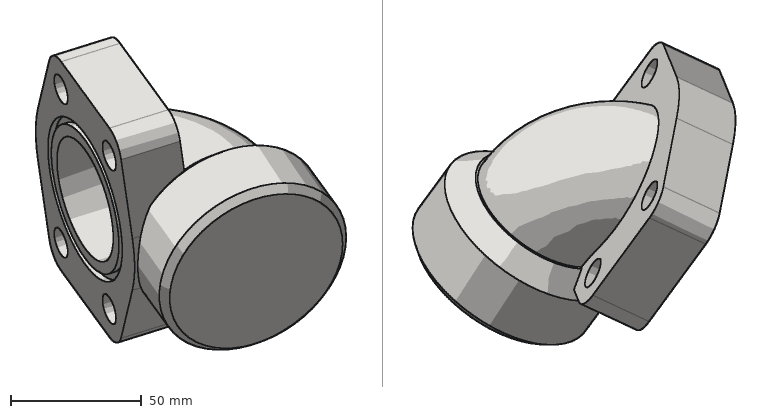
import cadquery as cq
import math

flange_thickness = 25.0
flange_height = 106.0
flange_side_radius = 44.0
flange_corner_radius = 11.0
bolt_spacing_x = 42.9
bolt_spacing_z = 77.8
bolt_hole_diameter = 12.0

port_diameter = 50.0
port_depth = 25.0
groove_inner_diameter = 60.0
groove_outer_diameter = 66.0
groove_depth = 2.65

elbow_radius = 30.0
bend_radius = 30.0
outlet_axis_y = 41.0

collar_radius = 39.66
collar_neck_radius = 31.0
collar_start_x = bend_radius
collar_cone_length = collar_radius - collar_neck_radius
collar_end_x = 66.0
collar_chamfer = 3.0


def make_flange():
    half_height = flange_height / 2
    corner_x = bolt_spacing_x / 2
    corner_z = half_height - flange_corner_radius

    center_angle = math.atan2(corner_z, corner_x)
    center_distance = math.hypot(corner_x, corner_z)
    radius_difference = flange_side_radius - flange_corner_radius
    normal_angle = center_angle - math.acos(radius_difference / center_distance)
    middle_angle = (normal_angle + math.pi / 2) / 2

    side_x = flange_side_radius * math.cos(normal_angle)
    side_z = flange_side_radius * math.sin(normal_angle)
    tangent_x = corner_x + flange_corner_radius * math.cos(normal_angle)
    tangent_z = corner_z + flange_corner_radius * math.sin(normal_angle)
    middle_x = corner_x + flange_corner_radius * math.cos(middle_angle)
    middle_z = corner_z + flange_corner_radius * math.sin(middle_angle)

    return (
        cq.Workplane("XZ")
        .moveTo(side_x, -side_z)
        .threePointArc((flange_side_radius, 0), (side_x, side_z))
        .lineTo(tangent_x, tangent_z)
        .threePointArc((middle_x, middle_z), (corner_x, half_height))
        .lineTo(-corner_x, half_height)
        .threePointArc((-middle_x, middle_z), (-tangent_x, tangent_z))
        .lineTo(-side_x, side_z)
        .threePointArc((-flange_side_radius, 0), (-side_x, -side_z))
        .lineTo(-tangent_x, -tangent_z)
        .threePointArc((-middle_x, -middle_z), (-corner_x, -half_height))
        .lineTo(corner_x, -half_height)
        .threePointArc((middle_x, -middle_z), (tangent_x, -tangent_z))
        .close()
        .extrude(-flange_thickness)
    )


def make_elbow():
    bend_center_y = outlet_axis_y - bend_radius
    return (
        cq.Workplane("XZ", origin=(0, bend_center_y, 0))
        .circle(elbow_radius)
        .revolve(90, (bend_radius, 1, 0), (bend_radius, -1, 0))
    )


def make_collar():
    return (
        cq.Workplane("XY")
        .moveTo(collar_start_x, outlet_axis_y)
        .lineTo(collar_start_x, outlet_axis_y + collar_neck_radius)
        .lineTo(collar_start_x + collar_cone_length, outlet_axis_y + collar_radius)
        .lineTo(collar_end_x - collar_chamfer, outlet_axis_y + collar_radius)
        .lineTo(collar_end_x, outlet_axis_y + collar_radius - collar_chamfer)
        .lineTo(collar_end_x, outlet_axis_y)
        .close()
        .revolve(360, (0, outlet_axis_y, 0), (1, outlet_axis_y, 0))
    )


def make_bolt_holes():
    return (
        cq.Workplane("XZ")
        .rarray(bolt_spacing_x, bolt_spacing_z, 2, 2)
        .circle(bolt_hole_diameter / 2)
        .extrude(-flange_thickness)
    )


def make_port():
    return cq.Workplane("XZ").circle(port_diameter / 2).extrude(-port_depth)


def make_seal_groove():
    return (
        cq.Workplane("XZ")
        .circle(groove_outer_diameter / 2)
        .circle(groove_inner_diameter / 2)
        .extrude(-groove_depth)
    )


flange = make_flange().cut(make_bolt_holes())
body = flange.union(make_elbow()).union(make_collar())
result = body.cut(make_port()).cut(make_seal_groove())